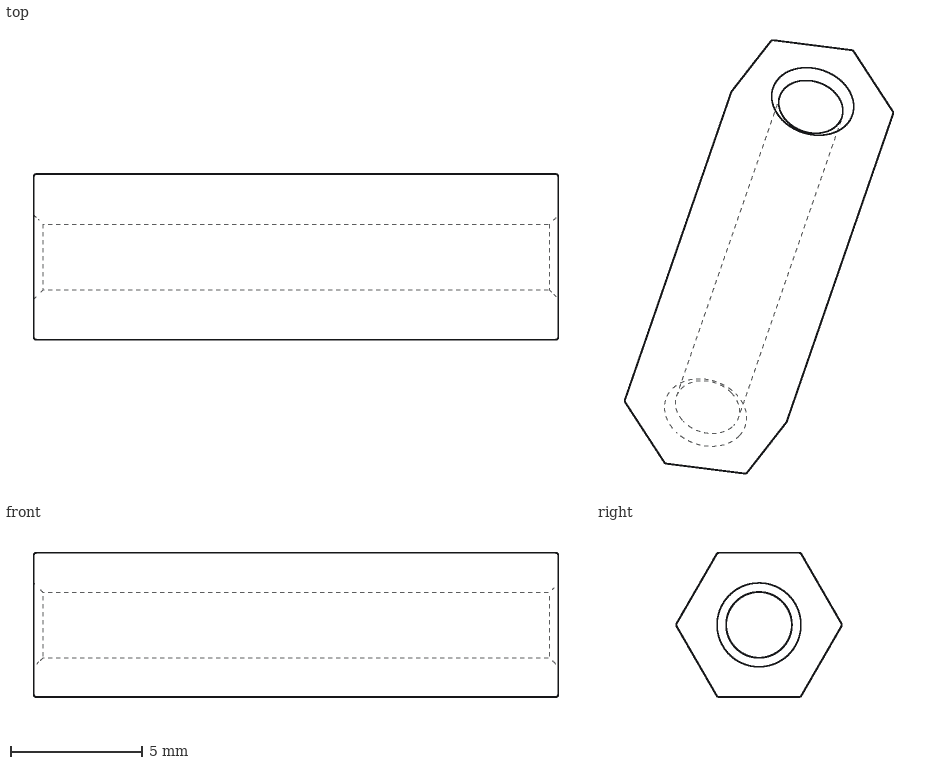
import cadquery as cq
import math

length = 20.0
side_count = 6
across_flats = 5.5
across_corners = across_flats / math.cos(math.pi / side_count)
edge_radius = 0.1

bore_diameter = 2.5
countersink_diameter = 3.2
countersink_angle = 90.0


def hex_body():
    """Hexagonal bar with flats on top and bottom, every outer edge rounded."""
    bar = (
        cq.Workplane("YZ")
        .polygon(side_count, across_corners)
        .extrude(length / 2, both=True)
    )
    return bar.edges().fillet(edge_radius)


def drill_from_end(body, end_face):
    """Through bore with a countersink at the chosen end face."""
    return (
        body.faces(end_face)
        .workplane(origin=(0, 0, 0))
        .cskHole(bore_diameter, countersink_diameter, countersink_angle)
    )


result = hex_body()
for end_face in ("<X", ">X"):
    result = drill_from_end(result, end_face)